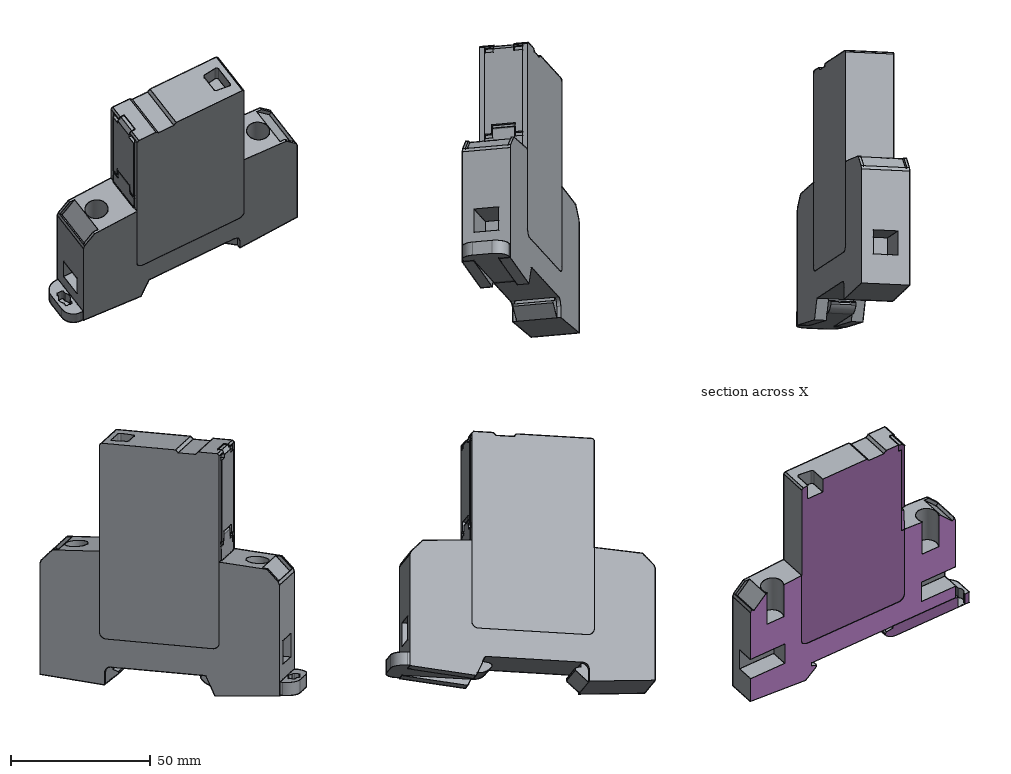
import cadquery as cq
import math


width = 18.0
height = 91.0
overall_length = 96.23
foot_reach = 6.0
base_length = overall_length - foot_reach
base_front = -base_length / 2
base_back = base_length / 2

rail_z = 7.3
heel_z = 2.2
bevel_low_z = 43.8
bevel_high_z = 45.1
bevel_depth = 0.5
shoulder_end_z = 49.3
shoulder_top_z = 50.4
slope_run = shoulder_end_z - bevel_high_z
front_leg_tip_y = -20.8
front_leg_top_y = -17.4
back_leg_y = 20.8
back_leg_tip_z = 0.4
back_leg_relief = 2.6

hook_inset = 1.5
hook_root_y = 18.1
hook_tip_y = 16.0
hook_tip_low_z = 4.6
hook_tip_high_z = 5.4
hook_root_z = 6.1

screw_hole_diameter = 8.3
screw_hole_y = 34.1
screw_hole_floor_z = 35.0
wire_entry_width = 9.2
wire_entry_height = 8.8
wire_entry_z = 17.4
wire_entry_depth = 15.0
label_width = 16.0
label_depth = 1.35
slider_width = 9.3

module_front = -22.45
module_back = 22.65
module_bottom_z = 17.7
module_corner = 2.5
module_chamfer = 0.7
groove_front = -14.5
groove_back = -6.0
groove_depth = 1.0
window_y = 16.6
window_length = 6.4
window_front_width = 8.1
window_back_width = 9.7
window_corner = 0.8
window_depth = 6.0

channel_width = 14.2
channel_depth = 1.0
channel_top_z = 89.8
panel_proud = 0.35
panel_top_z = 88.1
panel_bottom_z = 57.3
panel_notch_width = 8.8
panel_notch_z = 60.7
clip_width = 7.6
clip_back = -20.1
clip_top_z = height - 0.35
clip_chamfer = 1.35
flap_shoulder_z = 55.75
flap_top_z = 59.7
flap_tongue_width = 8.2
flap_tilt = 2.6
flap_round = 0.6

tab_width = 17.2
tab_offset = 0.2
tab_corner = 5.0
slider_bottom_z = 2.35
slider_tip_y = -14.1
slider_tip_top_z = 6.6
slider_tip_low_z = 4.9
slider_tip_high_z = 5.6
slider_tip_cut = 0.6
slider_heel_y = -18.9
keyhole_width = 6.6
keyhole_height = 2.7
keyhole_diameter = 4.4
keyhole_corner = 0.4
keyhole_floor = 0.5
keyhole_y = base_front - 2.6
slider_thickness = rail_z - slider_bottom_z


def extrude_across(profile, across):
    """Extrude a (Y, Z) profile over the given width, centred on X = 0."""
    return profile.extrude(across / 2, both=True)


def box(x_size, y_low, y_high, z_low, z_high):
    """Box centred on X = 0 between the given Y and Z limits."""
    block = cq.Workplane("XY").box(x_size, y_high - y_low, z_high - z_low, centered=(True, False, False))
    return block.translate((0, y_low, z_low))


def module_envelope():
    block = box(width, module_front, module_back, module_bottom_z, height)
    return block.edges("|X and <Z").fillet(module_corner)


def panel_clip_seat():
    return box(clip_width, module_front, clip_back, panel_top_z, height)


def module_window():
    trapezoid = (
        cq.Workplane("XY", origin=(0, window_y, height - window_depth))
        .moveTo(-window_front_width / 2, -window_length / 2)
        .lineTo(window_front_width / 2, -window_length / 2)
        .lineTo(window_back_width / 2, window_length / 2)
        .lineTo(-window_back_width / 2, window_length / 2)
        .close()
        .extrude(window_depth)
    )
    return trapezoid.edges("|Z").fillet(window_corner)


def top_groove():
    profile = (
        cq.Workplane("YZ")
        .moveTo(groove_front, height)
        .lineTo(groove_front + groove_depth, height - groove_depth)
        .lineTo(groove_back - groove_depth, height - groove_depth)
        .lineTo(groove_back, height)
        .close()
    )
    return extrude_across(profile, width)


def make_module():
    channel = box(channel_width, module_front, module_front + channel_depth, shoulder_top_z, channel_top_z)
    return (
        module_envelope()
        .edges("|X and >Z")
        .chamfer(module_chamfer)
        .cut(top_groove())
        .cut(module_window())
        .cut(channel)
        .cut(panel_clip_seat())
    )


def base_outline():
    relief_mid = back_leg_relief * (1 - math.sqrt(0.5))
    relief_start_z = rail_z - back_leg_relief
    return (
        cq.Workplane("YZ")
        .moveTo(base_front, heel_z)
        .lineTo(front_leg_tip_y, 0)
        .lineTo(front_leg_top_y, rail_z)
        .lineTo(back_leg_y - back_leg_relief, rail_z)
        .threePointArc((back_leg_y - relief_mid, rail_z - relief_mid), (back_leg_y, relief_start_z))
        .lineTo(back_leg_y, back_leg_tip_z)
        .lineTo(base_back, heel_z)
        .lineTo(base_back, bevel_low_z)
        .lineTo(base_back - bevel_depth, bevel_high_z)
        .lineTo(base_back - bevel_depth - slope_run, shoulder_end_z)
        .lineTo(module_back, shoulder_top_z)
        .lineTo(module_front, shoulder_top_z)
        .lineTo(base_front + bevel_depth + slope_run, shoulder_end_z)
        .lineTo(base_front + bevel_depth, bevel_high_z)
        .lineTo(base_front, bevel_low_z)
        .close()
    )


def rail_hook():
    profile = (
        cq.Workplane("YZ")
        .moveTo(back_leg_y, back_leg_tip_z)
        .lineTo(hook_tip_y, hook_tip_low_z)
        .lineTo(hook_tip_y, hook_tip_high_z)
        .lineTo(hook_root_y, hook_root_z)
        .lineTo(hook_root_y, rail_z)
        .lineTo(back_leg_y, rail_z)
        .close()
    )
    return extrude_across(profile, width - 2 * hook_inset)


def label_recess(end):
    """Sunk label field on the slope at the front (end = -1) or the back (end = 1)."""
    low_y = base_back - bevel_depth
    step = label_depth * math.sqrt(0.5)
    reach = slope_run + 2 * label_depth
    profile = (
        cq.Workplane("YZ")
        .moveTo(end * low_y, bevel_high_z)
        .lineTo(end * (low_y - step), bevel_high_z - step)
        .lineTo(end * (low_y - step - reach), bevel_high_z - step + reach)
        .lineTo(end * low_y, bevel_high_z - step + reach)
        .close()
    )
    return extrude_across(profile, label_width)


def screw_hole(end):
    return (
        cq.Workplane("XY", origin=(0, end * screw_hole_y, screw_hole_floor_z))
        .circle(screw_hole_diameter / 2)
        .extrude(shoulder_top_z - screw_hole_floor_z)
    )


def wire_entry(end):
    middle_y = end * (base_back - wire_entry_depth / 2)
    entry = cq.Workplane("XY").box(wire_entry_width, wire_entry_depth, wire_entry_height)
    return entry.translate((0, middle_y, wire_entry_z))


def make_base():
    body = extrude_across(base_outline(), width).union(rail_hook())
    body = body.cut(module_envelope())
    for end in (-1, 1):
        body = body.cut(label_recess(end)).cut(screw_hole(end)).cut(wire_entry(end))
    slider_slot = box(slider_width, base_front, front_leg_top_y, 0, rail_z)
    return body.cut(slider_slot)


def make_panel():
    panel_front = module_front - panel_proud
    channel_floor = module_front + channel_depth
    plate = box(channel_width, panel_front, channel_floor, panel_bottom_z, panel_top_z)
    notch = box(panel_notch_width, panel_front, channel_floor, panel_bottom_z, panel_notch_z)
    clip = box(clip_width, panel_front, clip_back, panel_top_z, clip_top_z)
    clip = clip.edges("|X and >Z and <Y").chamfer(clip_chamfer)
    return plate.cut(notch).union(clip)


def make_flap():
    channel_floor = module_front + channel_depth
    flap_front = module_front - panel_proud
    lean = (flap_top_z - shoulder_top_z) * math.tan(math.radians(flap_tilt))
    profile = (
        cq.Workplane("YZ")
        .moveTo(channel_floor, shoulder_top_z)
        .lineTo(flap_front, shoulder_top_z)
        .lineTo(flap_front + lean, flap_top_z)
        .lineTo(channel_floor, flap_top_z)
        .close()
    )
    wedge = extrude_across(profile, channel_width).edges("|X").edges(">Z").edges("<Y").fillet(flap_round)
    lower = box(channel_width, flap_front, channel_floor, shoulder_top_z, flap_shoulder_z)
    tongue = box(flap_tongue_width, flap_front, channel_floor, shoulder_top_z, flap_top_z)
    return wedge.intersect(lower.union(tongue))


def foot_tab():
    middle_y = base_front - foot_reach / 2
    plate = (
        cq.Workplane("XY", origin=(tab_offset, middle_y, slider_bottom_z))
        .rect(tab_width, foot_reach)
        .extrude(slider_thickness)
        .edges("|Z and <Y")
        .fillet(tab_corner)
    )
    depth = slider_thickness - keyhole_floor
    floor = cq.Workplane("XY", origin=(tab_offset, keyhole_y, slider_bottom_z + keyhole_floor))
    slot = floor.rect(keyhole_width, keyhole_height).extrude(depth).edges("|Z").fillet(keyhole_corner)
    keyhole = slot.union(floor.circle(keyhole_diameter / 2).extrude(depth))
    return plate.cut(keyhole)


def make_foot():
    profile = (
        cq.Workplane("YZ")
        .moveTo(base_front, slider_bottom_z)
        .lineTo(slider_heel_y, slider_bottom_z)
        .tangentArcPoint((slider_tip_y, slider_tip_low_z), relative=False)
        .lineTo(slider_tip_y, slider_tip_high_z)
        .lineTo(slider_tip_y - slider_tip_cut, slider_tip_high_z + slider_tip_cut)
        .lineTo(front_leg_top_y, slider_tip_top_z)
        .lineTo(front_leg_top_y, rail_z)
        .lineTo(base_front, rail_z)
        .close()
    )
    return extrude_across(profile, slider_width).union(foot_tab())


base = make_base()
module = make_module()
panel = make_panel()
flap = make_flap()
foot = make_foot()

result = cq.Compound.makeCompound([base.val(), module.val(), panel.val(), flap.val(), foot.val()])